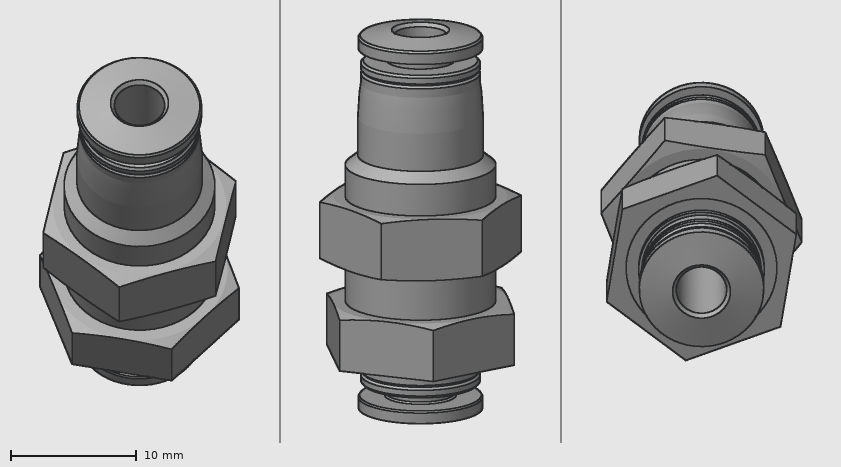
import cadquery as cq
import math


total_length = 31.6

collar_radius = 4.95
collar_length = 1.5
collar_slope = 10.0
top_rim_chamfer_radius = 4.8
top_rim_chamfer_height = 0.18
bottom_rim_chamfer = 0.1
bottom_rim_chamfer_height = 0.15
neck_radius = 2.7
neck_flare = 0.15
neck_length = 1.0

ring_radius = 4.75
ring_edge_chamfer = 0.2
ring_width = 0.67
groove_depth = 0.2
groove_width = 2 * groove_depth
lower_ring_land = 0.8

body_radius = 6.0
shank_radius = 5.0
taper_top_z = 27.3
taper_bottom_z = 24.4
shank_chamfer_top_z = 21.3
body_top_z = 20.5

across_flats = 14.0
corner_radius = across_flats / 2 / math.cos(math.pi / 6)
body_hex_turn = 30
nut_turn = 0
body_hex_bottom_z = 12.8
body_hex_top_z = 17.9
body_hex_face_radius = 6.9
body_hex_corner_drop = 0.24
nut_bottom_z = 4.8
nut_top_z = 9.3
nut_face_radius = 7.0
nut_corner_drop = 0.3

tube_bore_radius = 2.0
tube_mouth_radius = 2.3
tube_mouth_depth = 0.3
tube_bore_depth = 11.0
through_bore_radius = 1.15


def hexagon(bottom_z, height, turn):
    """Hexagonal prism; at turn = 0 two corners lie on the X axis."""
    prism = cq.Workplane("XY").polygon(6, 2 * corner_radius).extrude(height)
    return prism.rotate((0, 0, 0), (0, 0, 1), turn).translate((0, 0, bottom_z))


def chamfer_envelope(bottom_z, top_z, face_radius, corner_drop, both_ends):
    """Turned blank that trims the corners of a hexagon."""
    profile = cq.Workplane("XZ").moveTo(0, bottom_z)
    if both_ends:
        profile = profile.lineTo(face_radius, bottom_z)
        profile = profile.lineTo(corner_radius, bottom_z + corner_drop)
    else:
        profile = profile.lineTo(corner_radius, bottom_z)
    profile = profile.lineTo(corner_radius, top_z - corner_drop)
    profile = profile.lineTo(face_radius, top_z).lineTo(0, top_z).close()
    return profile.revolve(360, (0, 0, 0), (0, 1, 0))


def turned_body():
    """Outer turned shape of the housing, from the lower collar to the upper one."""
    slope = math.tan(math.radians(collar_slope))
    lower_rim_z = (collar_radius - tube_mouth_radius) * slope
    lower_collar_z = collar_length
    lower_ring_z = lower_collar_z + neck_length
    lower_groove_z = lower_ring_z + ring_width
    lower_shoulder_z = lower_groove_z + groove_width + lower_ring_land

    upper_rim_z = total_length - (top_rim_chamfer_radius - tube_mouth_radius) * slope
    upper_collar_z = total_length - collar_length
    upper_ring_z = upper_collar_z - neck_length
    upper_groove_z = upper_ring_z - ring_width

    taper_length = taper_top_z - taper_bottom_z
    taper_inset = shank_radius - ring_radius
    taper_curve_radius = (taper_length**2 + taper_inset**2) / (2 * taper_inset)

    profile = (
        cq.Workplane("XZ")
        .moveTo(0, 0)
        .lineTo(tube_mouth_radius, 0)
        .lineTo(collar_radius, lower_rim_z)
        .lineTo(collar_radius, lower_collar_z - bottom_rim_chamfer_height)
        .lineTo(collar_radius - bottom_rim_chamfer, lower_collar_z)
        .lineTo(neck_radius + neck_flare, lower_collar_z)
        .lineTo(neck_radius, lower_collar_z + neck_flare)
        .lineTo(neck_radius, lower_ring_z)
        .lineTo(ring_radius - ring_edge_chamfer, lower_ring_z)
        .lineTo(ring_radius, lower_ring_z + ring_edge_chamfer)
        .lineTo(ring_radius, lower_groove_z)
        .lineTo(ring_radius - groove_depth, lower_groove_z + groove_depth)
        .lineTo(ring_radius, lower_groove_z + groove_width)
        .lineTo(ring_radius, lower_shoulder_z)
        .lineTo(shank_radius, lower_shoulder_z)
        .lineTo(shank_radius, nut_bottom_z)
        .lineTo(body_radius, nut_bottom_z)
        .lineTo(body_radius, body_top_z)
        .lineTo(shank_radius, shank_chamfer_top_z)
        .lineTo(shank_radius, taper_bottom_z)
        .radiusArc((ring_radius, taper_top_z), -taper_curve_radius)
        .lineTo(ring_radius, upper_groove_z - groove_width)
        .lineTo(ring_radius - groove_depth, upper_groove_z - groove_depth)
        .lineTo(ring_radius, upper_groove_z)
        .lineTo(ring_radius, upper_ring_z - ring_edge_chamfer)
        .lineTo(ring_radius - ring_edge_chamfer, upper_ring_z)
        .lineTo(neck_radius, upper_ring_z)
        .lineTo(neck_radius, upper_collar_z - neck_flare)
        .lineTo(neck_radius + neck_flare, upper_collar_z)
        .lineTo(collar_radius, upper_collar_z)
        .lineTo(collar_radius, upper_rim_z - top_rim_chamfer_height)
        .lineTo(top_rim_chamfer_radius, upper_rim_z)
        .lineTo(tube_mouth_radius, total_length)
        .lineTo(0, total_length)
        .close()
    )
    return profile.revolve(360, (0, 0, 0), (0, 1, 0))


def bores():
    """Tube sockets with conical mouths at both ends, joined by a narrow through bore."""
    socket_floor_z = total_length - tube_bore_depth
    profile = (
        cq.Workplane("XZ")
        .moveTo(0, 0)
        .lineTo(tube_mouth_radius, 0)
        .lineTo(tube_bore_radius, tube_mouth_depth)
        .lineTo(tube_bore_radius, tube_bore_depth)
        .lineTo(through_bore_radius, tube_bore_depth)
        .lineTo(through_bore_radius, socket_floor_z)
        .lineTo(tube_bore_radius, socket_floor_z)
        .lineTo(tube_bore_radius, total_length - tube_mouth_depth)
        .lineTo(tube_mouth_radius, total_length)
        .lineTo(0, total_length)
        .close()
    )
    return profile.revolve(360, (0, 0, 0), (0, 1, 0))


def chamfered_hexagon(bottom_z, top_z, turn, face_radius, corner_drop, both_ends):
    """Hexagon with conical corner chamfers at the top, or at both ends."""
    prism = hexagon(bottom_z, top_z - bottom_z, turn)
    return prism.intersect(chamfer_envelope(bottom_z, top_z, face_radius, corner_drop, both_ends))


def make_housing():
    fixed_hexagon = chamfered_hexagon(
        body_hex_bottom_z, body_hex_top_z, body_hex_turn, body_hex_face_radius, body_hex_corner_drop, True
    )
    return turned_body().union(fixed_hexagon).cut(bores())


def make_nut():
    blank = chamfered_hexagon(
        nut_bottom_z, nut_top_z, nut_turn, nut_face_radius, nut_corner_drop, False
    )
    bore = cq.Workplane("XY").workplane(offset=nut_bottom_z).circle(body_radius)
    return blank.cut(bore.extrude(nut_top_z - nut_bottom_z))


housing = make_housing()
lock_nut = make_nut()

result = cq.Compound.makeCompound([housing.val(), lock_nut.val()])